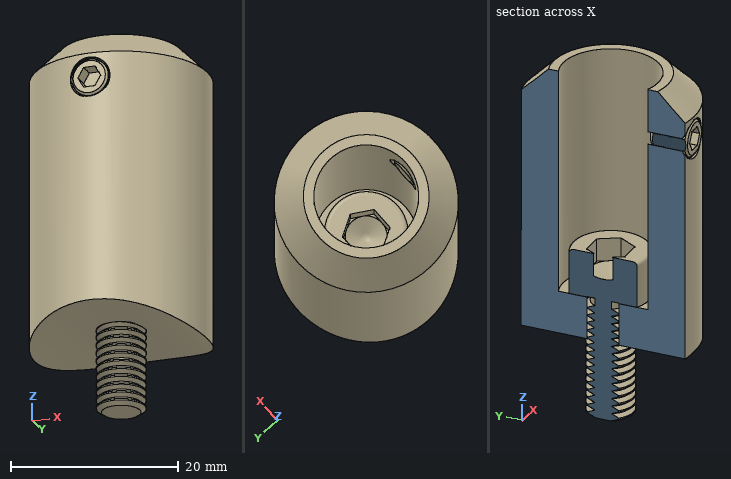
import cadquery as cq
import math

overall_height = 45.5

holder_diameter = 22.0
holder_top_diameter = 15.0
bore_diameter = 12.5
saddle_radius = 25.02
saddle_apex_z = 10.45
holder_radius = holder_diameter / 2
top_chamfer = (holder_diameter - holder_top_diameter) / 2

bolt_length = 16.0
bolt_diameter = 6.0
bolt_root_diameter = 4.9
bolt_tip_diameter = 4.75
thread_pitch = 1.0
crest_width = 0.2
first_crest_z = 0.55
head_diameter = 10.0
head_height = 6.0
head_fillet = 0.6
bolt_socket_width = 5.0
bolt_socket_depth = 3.0
drill_point_angle = 120.0

screw_diameter = 4.65
screw_length = 5.0
screw_face_diameter = 4.1
screw_face_chamfer = 0.27
screw_tip_diameter = 3.5
screw_socket_width = 2.5
screw_socket_depth = 2.0
screw_drop = 6.5
screw_z = overall_height - screw_drop
mouth_diameter = 5.0
mouth_depth = 0.35
mouth_taper_depth = 0.25


def hexagon_diameter(width_across_flats):
    return width_across_flats / math.cos(math.pi / 6)


def screw_plane(y):
    """Plane facing +Y on the axis of the set screw."""
    return cq.Plane(origin=(0, y, screw_z), xDir=(1, 0, 0), normal=(0, 1, 0))


def make_holder():
    bore_floor_z = bolt_length
    body = cq.Workplane("XY").circle(holder_radius).extrude(overall_height)
    body = body.faces(">Z").chamfer(top_chamfer)

    saddle = (
        cq.Workplane("XZ")
        .center(0, saddle_apex_z - saddle_radius)
        .circle(saddle_radius)
        .extrude(holder_radius, both=True)
    )
    bore = (
        cq.Workplane("XY", origin=(0, 0, bore_floor_z))
        .circle(bore_diameter / 2)
        .extrude(overall_height - bore_floor_z)
    )
    bolt_hole = cq.Workplane("XY").circle(bolt_diameter / 2).extrude(bore_floor_z)

    screw_hole = cq.Workplane(screw_plane(-holder_radius)).circle(screw_diameter / 2).extrude(holder_radius)
    mouth = (
        cq.Workplane(screw_plane(-holder_radius))
        .circle(mouth_diameter / 2)
        .extrude(mouth_depth)
    )
    mouth_taper = (
        cq.Workplane(screw_plane(-holder_radius + mouth_depth))
        .circle(mouth_diameter / 2)
        .workplane(offset=mouth_taper_depth)
        .circle(screw_diameter / 2)
        .loft()
    )
    body = body.cut(saddle).cut(bore).cut(bolt_hole)
    return body.cut(screw_hole).cut(mouth).cut(mouth_taper)


def make_bolt():
    crest_radius = bolt_diameter / 2
    root_radius = bolt_root_diameter / 2
    flank_height = (thread_pitch - crest_width) / 2
    ridge_count = math.floor((bolt_length - first_crest_z) / thread_pitch)

    profile = [(0, 0), (bolt_tip_diameter / 2, 0)]
    for ridge in range(ridge_count):
        crest_z = first_crest_z + ridge * thread_pitch
        profile.append((crest_radius, crest_z - crest_width / 2))
        profile.append((crest_radius, crest_z + crest_width / 2))
        profile.append((root_radius, crest_z + crest_width / 2 + flank_height))
    profile += [
        (root_radius, bolt_length),
        (head_diameter / 2, bolt_length),
        (head_diameter / 2, bolt_length + head_height),
        (0, bolt_length + head_height),
    ]
    bolt = cq.Workplane("XZ").polyline(profile).close().revolve(360, (0, 0), (0, 1))
    bolt = bolt.faces(">Z").edges().fillet(head_fillet)

    socket_floor_z = bolt_length + head_height - bolt_socket_depth
    socket = (
        cq.Workplane("XY", origin=(0, 0, socket_floor_z))
        .polygon(6, hexagon_diameter(bolt_socket_width))
        .extrude(bolt_socket_depth)
    )
    drill_radius = bolt_socket_width / 2
    point_depth = drill_radius / math.tan(math.radians(drill_point_angle / 2))
    drill_point = cq.Workplane(
        cq.Solid.makeCone(0, drill_radius, point_depth, pnt=(0, 0, socket_floor_z - point_depth))
    )
    return bolt.cut(socket).cut(drill_point)


def make_set_screw():
    radius = screw_diameter / 2
    tip_radius = screw_tip_diameter / 2
    tip_chamfer = radius - tip_radius
    face_y = -holder_radius
    tip_y = face_y + screw_length

    profile = [
        (0, face_y),
        (screw_face_diameter / 2, face_y),
        (radius, face_y + screw_face_chamfer),
        (radius, tip_y - tip_chamfer),
        (tip_radius, tip_y),
        (0, tip_y),
    ]
    screw = (
        cq.Workplane("XY", origin=(0, 0, screw_z))
        .polyline(profile)
        .close()
        .revolve(360, (0, 0), (0, 1))
    )
    socket = (
        cq.Workplane(screw_plane(face_y))
        .polygon(6, hexagon_diameter(screw_socket_width))
        .extrude(screw_socket_depth)
    )
    return screw.cut(socket)


holder = make_holder()
bolt = make_bolt()
set_screw = make_set_screw()

result = cq.Compound.makeCompound([holder.val(), bolt.val(), set_screw.val()])